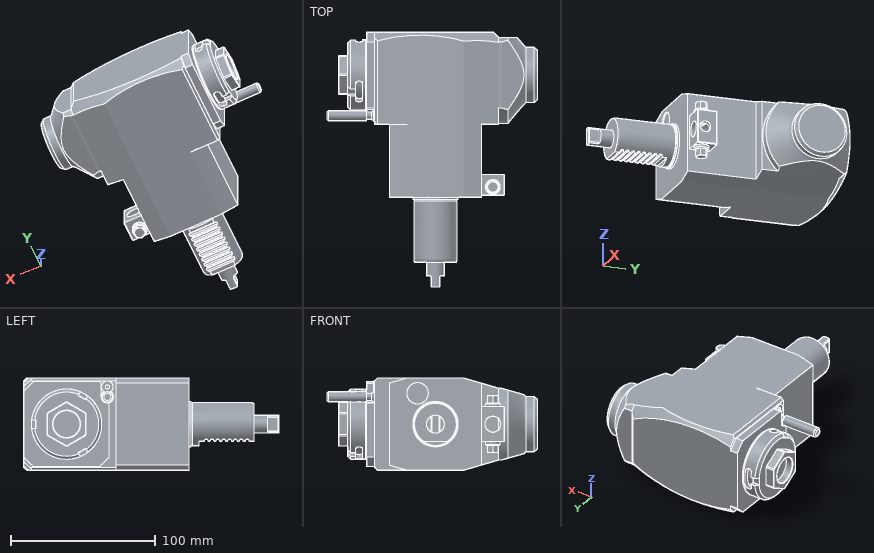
import cadquery as cq
import math

HEX_SIDES = 6
HEX_TURN = 180 / HEX_SIDES


HALF_WIDTH = 32.0
HEAD_LEFT = -42.1
HEAD_RIGHT = 43.9
HEAD_BACK = 29.7
HEAD_FRONT = -34.3
COLUMN_FRONT = -85.0
SLOPE_START = 19.6
SLOPE_END_Z = 25.0
LEFT_CHAMFER = 2.0
BACK_CORNER_CHAMFER = 3.7
CROWN_RADIUS = 42.3
CROWN_ARC = 177.0
CROWN_X = -10.6
PLUG_X = -12.4
PLUG_Z = 21.5
PLUG_DIAMETER = 14.9
PLUG_DEPTH = 0.9

NOSE_RADIUS = 33.8
NOSE_CYLINDER_END = 50.3
NOSE_CONE_END = 61.5
NOSE_CONE_END_RADIUS = 20.5
NOSE_BACK = 26.0
NOSE_FLAT_END = 45.8
NOSE_END_Z = 20.5
CAP_RADIUS = 19.3
CAP_START = 62.8
CAP_END = 71.0
CAP_CHAMFER_LENGTH = 2.7
CAP_CHAMFER_DEPTH = 2.1

PLATE_LEFT = -47.8
PLATE_HALF = 29.5
PLATE_CORNER = 6.7
PLATE_NOTCH_Y = -24.0

RING_LEFT = -60.9
RING_RADIUS = 24.5
RING_CHAMFER = 2.1
RING_NECK_RADIUS = 23.7
RING_NECK_LENGTH = 0.9
SLOT_COUNT = 3
SLOT_X = -53.0
SLOT_WIDTH = 5.0
SLOT_DEPTH = 3.2
SLOT_HALF_ANGLE = 20
NOTCH_WIDTH = 5.8
NOTCH_DEPTH = 3.0
HEX_LEFT = -67.3
HEX_FLATS = 26.9
HEX_CORNER_DIAMETER = 30.5
HEX_BORE_DIAMETER = 18.8
HEX_BORE_DEPTH = 5.3
HEX_BORE_CHAMFER = 0.4
HEX_EDGE_CHAMFER = 0.4

PIN_Y = -28.3
PIN_Z = 19.0
PIN_RADIUS = 3.5
PIN_LEFT = -75.4
PIN_RIGHT = -48.0
PIN_CHAMFER = 1.0
PIN_NECK_RADIUS = 2.5
PIN_NECK_END = -44.5
PIN_FOOT_RADIUS = 4.2
SCREW_Z = 25.8
SCREW_RADIUS = 4.0
SCREW_HEAD = 0.9
SCREW_SOCKET = 3.2

COLLAR_RADIUS = 15.8
COLLAR_LENGTH = 1.5
GROOVE_RADIUS = 14.7
GROOVE_END = -87.5
SHANK_RADIUS = 15.0
SHANK_END = -130.1
SHANK_CHAMFER_LENGTH = 1.8
SHANK_CHAMFER_DEPTH = 0.5
RACK_Z = -12.0
RACK_START = -92.0
TOOTH_PITCH = 4.0
TOOTH_COUNT = 8
FIRST_TOOTH_GAP = -96.8
TOOTH_GAP_TOP = 1.5
TOOTH_GAP_MOUTH = 3.2
TOOTH_DEPTH = 1.5
DRIVE_RADIUS = 6.2
DRIVE_SHOULDER = -139.5
DRIVE_END = -147.3
TANG_WIDTH = 6.0
TANG_ROOT_FILLET = 0.9
TANG_TIP_CHAMFER = 0.5
TANG_SIDE_CHAMFER_DEPTH = 0.5
TANG_SIDE_CHAMFER_LENGTH = 1.6

BLOCK_RIGHT = 48.0
BLOCK_BACK = -69.0
BLOCK_FRONT = -83.5
BLOCK_HALF_Z = 12.2
BLOCK_CHAMFER = 0.5
BLOCK_BORE = 11.0
OUTLET_BORE = 7.8
CROSS_BORE_HALF_LENGTH = 5.8
BOLT_X = 39.8
BOLT_Y = -77.7
BOLT_COLLAR_RADIUS = 5.1
BOLT_COLLAR_HEIGHT = 2.5
BOLT_HEX_TOP = 19.8
BOLT_COLLAR_CHAMFER = 0.7
BOLT_HEX_FLATS = 7.3


def box(x_range, y_range, z_range):
    """Axis-aligned box between the given limits."""
    (x0, x1), (y0, y1), (z0, z1) = x_range, y_range, z_range
    return cq.Workplane("XY").box(x1 - x0, y1 - y0, z1 - z0, centered=False).translate((x0, y0, z0))


def rod_x(x0, x1, radius, y=0, z=0):
    """Cylinder parallel to X."""
    return cq.Workplane("YZ", origin=(x0, y, z)).circle(radius).extrude(x1 - x0)


def turned_x(profile, y=0, z=0):
    """Solid of revolution about a line parallel to X, from (x, radius) points."""
    outline = [(profile[0][0], 0)] + profile + [(profile[-1][0], 0)]
    return cq.Workplane("XY").polyline(outline).close().revolve(360, (0, 0), (1, 0)).translate((0, y, z))


def turned_y(profile):
    """Solid of revolution about the shank axis, from (radius, y) points."""
    outline = [(0, profile[0][1])] + profile + [(0, profile[-1][1])]
    return cq.Workplane("XY").polyline(outline).close().revolve(360, (0, 0), (0, 1))


def hex_corners(flats):
    """Diameter across the corners of a hexagon with the given width across flats."""
    return flats / math.cos(math.pi / HEX_SIDES)


def mirrored_outline(upper):
    """Closed XZ outline symmetric about Z = 0, given its upper half from left to right."""
    return upper + [(x, -z) for x, z in reversed(upper)]


def prism_y(outline, y_front, y_back):
    """XZ outline extruded along Y."""
    plane = cq.Workplane("XZ", origin=(0, y_back, 0))
    return plane.polyline(outline).close().extrude(y_back - y_front)


def make_housing():
    """Head with crowned back edges, and the column below it carrying a shallow plug recess."""
    slope = (HALF_WIDTH - SLOPE_END_Z) / (HEAD_RIGHT - SLOPE_START)
    column_side_z = HALF_WIDTH - slope * (HALF_WIDTH - SLOPE_START)
    head = prism_y(
        mirrored_outline([
            (HEAD_LEFT, HALF_WIDTH - LEFT_CHAMFER),
            (HEAD_LEFT + LEFT_CHAMFER, HALF_WIDTH),
            (SLOPE_START, HALF_WIDTH),
            (HEAD_RIGHT, SLOPE_END_Z),
        ]),
        HEAD_FRONT, HEAD_BACK,
    )
    head = head.edges("|Z and >X and >Y").chamfer(BACK_CORNER_CHAMFER)

    def barrel_radius(x):
        return CROWN_RADIUS - CROWN_ARC + math.sqrt(CROWN_ARC**2 - (x - CROWN_X)**2)

    barrel = (
        cq.Workplane("XY")
        .moveTo(HEAD_LEFT, 0)
        .lineTo(HEAD_LEFT, barrel_radius(HEAD_LEFT))
        .threePointArc((CROWN_X, CROWN_RADIUS), (HEAD_RIGHT, barrel_radius(HEAD_RIGHT)))
        .lineTo(HEAD_RIGHT, 0)
        .close()
        .revolve(360, (0, 0), (1, 0))
    )
    front_half = box((HEAD_LEFT, HEAD_RIGHT), (HEAD_FRONT, 0), (-HALF_WIDTH, HALF_WIDTH))
    head = head.intersect(barrel.union(front_half))

    column = prism_y(
        mirrored_outline([
            (-HALF_WIDTH, column_side_z),
            (-SLOPE_START, HALF_WIDTH),
            (SLOPE_START, HALF_WIDTH),
            (HALF_WIDTH, column_side_z),
        ]),
        COLUMN_FRONT, HEAD_FRONT,
    )
    plug_recess = (
        cq.Workplane("XZ", origin=(PLUG_X, COLUMN_FRONT, PLUG_Z))
        .circle(PLUG_DIAMETER / 2)
        .extrude(-PLUG_DEPTH)
    )
    return head.union(column).cut(plug_recess)


def make_nose():
    """Turned bearing nose, trimmed by the sloped faces and a flat back."""
    turned = turned_x([
        (HEAD_RIGHT, NOSE_RADIUS),
        (NOSE_CYLINDER_END, NOSE_RADIUS),
        (NOSE_CONE_END, NOSE_CONE_END_RADIUS),
        (CAP_START, CAP_RADIUS),
        (CAP_END - CAP_CHAMFER_LENGTH, CAP_RADIUS),
        (CAP_END, CAP_RADIUS - CAP_CHAMFER_DEPTH),
    ])
    envelope = prism_y(
        mirrored_outline([
            (HEAD_RIGHT, SLOPE_END_Z),
            (NOSE_FLAT_END, SLOPE_END_Z),
            (NOSE_CONE_END, NOSE_END_Z),
            (CAP_END, NOSE_END_Z),
        ]),
        -NOSE_RADIUS, NOSE_BACK,
    )
    return turned.intersect(envelope)


def make_plate():
    """Flange plate with bevelled corners and a round-bottomed notch beside the pin."""
    left = PLATE_LEFT
    plate = box((left, HEAD_LEFT), (-PLATE_HALF, HEAD_BACK), (-PLATE_HALF, PLATE_HALF))
    plate = plate.edges("|X").chamfer(PLATE_CORNER)
    notch = box((left, HEAD_LEFT), (-PLATE_HALF, PLATE_NOTCH_Y), (PIN_Z, PLATE_HALF))
    notch = notch.union(rod_x(left, HEAD_LEFT, PLATE_NOTCH_Y - PIN_Y, PIN_Y, PIN_Z))
    return plate.cut(notch)


def make_slot_cutter():
    """One J-slot on the +Y side: an arc-shaped groove with round ends and an axial entry notch."""
    floor_radius = RING_RADIUS - SLOT_DEPTH
    half_width = SLOT_WIDTH / 2
    reach = 2 * RING_RADIUS
    end_angle = SLOT_HALF_ANGLE - math.degrees(half_width / RING_RADIUS)
    end_y = reach * math.cos(math.radians(end_angle))
    end_z = reach * math.sin(math.radians(end_angle))
    left = SLOT_X - half_width
    wedge = (
        cq.Workplane("YZ", origin=(left, 0, 0))
        .polyline([(0, 0), (end_y, -end_z), (reach, 0), (end_y, end_z)])
        .close()
        .extrude(SLOT_WIDTH)
    )
    for side in (-1, 1):
        round_end = cq.Workplane("XY", origin=(SLOT_X, 0, 0)).transformed(rotate=(-90, 0, 0))
        round_end = round_end.circle(half_width).extrude(reach)
        wedge = wedge.union(round_end.rotate((0, 0, 0), (1, 0, 0), side * end_angle))
    groove = wedge.cut(rod_x(left, left + SLOT_WIDTH, floor_radius))
    notch = box(
        (RING_LEFT, SLOT_X),
        (RING_RADIUS - NOTCH_DEPTH, RING_RADIUS + NOTCH_DEPTH),
        (-NOTCH_WIDTH / 2, NOTCH_WIDTH / 2),
    )
    return groove.union(notch)


def make_clamping_nut():
    """Round slotted nut with a bored hexagon on its outer face."""
    neck_start = PLATE_LEFT - RING_NECK_LENGTH
    nut = turned_x([
        (RING_LEFT, RING_RADIUS - RING_CHAMFER),
        (RING_LEFT + RING_CHAMFER, RING_RADIUS),
        (neck_start, RING_RADIUS),
        (neck_start, RING_NECK_RADIUS),
        (PLATE_LEFT, RING_NECK_RADIUS),
    ])
    slot = make_slot_cutter()
    for i in range(SLOT_COUNT):
        nut = nut.cut(slot.rotate((0, 0, 0), (1, 0, 0), i * 360 / SLOT_COUNT))
    hexagon = (
        cq.Workplane("YZ", origin=(HEX_LEFT, 0, 0))
        .polygon(HEX_SIDES, hex_corners(HEX_FLATS))
        .extrude(RING_LEFT - HEX_LEFT)
        .rotate((0, 0, 0), (1, 0, 0), HEX_TURN)
    )
    hexagon = hexagon.intersect(rod_x(HEX_LEFT, RING_LEFT, HEX_CORNER_DIAMETER / 2))
    hexagon = hexagon.faces("<X").chamfer(HEX_EDGE_CHAMFER)
    bore_radius = HEX_BORE_DIAMETER / 2
    bore = turned_x([
        (HEX_LEFT, bore_radius + HEX_BORE_CHAMFER),
        (HEX_LEFT + HEX_BORE_CHAMFER, bore_radius),
        (HEX_LEFT + HEX_BORE_DEPTH, bore_radius),
    ])
    return nut.union(hexagon).cut(bore)


def make_pin():
    """Locating pin with a neck and a flared foot."""
    return turned_x(
        [
            (PIN_LEFT, PIN_RADIUS - PIN_CHAMFER),
            (PIN_LEFT + PIN_CHAMFER, PIN_RADIUS),
            (PIN_RIGHT, PIN_RADIUS),
            (PIN_RIGHT, PIN_NECK_RADIUS),
            (PIN_NECK_END, PIN_NECK_RADIUS),
            (HEAD_LEFT, PIN_FOOT_RADIUS),
        ],
        PIN_Y, PIN_Z,
    )


def make_retaining_screw():
    """Low screw head with a hexagon socket."""
    head = rod_x(HEAD_LEFT - SCREW_HEAD, HEAD_LEFT, SCREW_RADIUS, PIN_Y, SCREW_Z)
    socket = (
        cq.Workplane("YZ", origin=(HEAD_LEFT - SCREW_HEAD, PIN_Y, SCREW_Z))
        .polygon(HEX_SIDES, SCREW_SOCKET)
        .extrude(SCREW_HEAD)
        .rotate((0, PIN_Y, SCREW_Z), (1, PIN_Y, SCREW_Z), HEX_TURN)
    )
    return head.cut(socket)


def make_tang_root():
    """Concave fillets between the drive shoulder and both flats of the tang."""
    foot = TANG_WIDTH / 2 + TANG_ROOT_FILLET
    root_end = DRIVE_SHOULDER - TANG_ROOT_FILLET
    root = box((-foot, foot), (root_end, DRIVE_SHOULDER), (-DRIVE_RADIUS, DRIVE_RADIUS))
    hollows = (
        cq.Workplane("XY", origin=(0, 0, -DRIVE_RADIUS))
        .pushPoints([(-foot, root_end), (foot, root_end)])
        .circle(TANG_ROOT_FILLET)
        .extrude(2 * DRIVE_RADIUS)
    )
    return root.cut(hollows)


def make_shank():
    """Cylindrical shank with a collar, a groove and a toothed flat underneath."""
    collar_end = COLUMN_FRONT - COLLAR_LENGTH
    shank = turned_y([
        (COLLAR_RADIUS, COLUMN_FRONT),
        (COLLAR_RADIUS, collar_end),
        (GROOVE_RADIUS, collar_end),
        (GROOVE_RADIUS, GROOVE_END),
        (SHANK_RADIUS, GROOVE_END),
        (SHANK_RADIUS, SHANK_END + SHANK_CHAMFER_LENGTH),
        (SHANK_RADIUS - SHANK_CHAMFER_DEPTH, SHANK_END),
    ])
    shank = shank.cut(
        box((-SHANK_RADIUS, SHANK_RADIUS), (SHANK_END, RACK_START), (-SHANK_RADIUS, RACK_Z))
    )
    for i in range(TOOTH_COUNT):
        y = FIRST_TOOTH_GAP - i * TOOTH_PITCH
        gap = (
            cq.Workplane("YZ", origin=(-SHANK_RADIUS, 0, 0))
            .polyline([
                (y - TOOTH_GAP_MOUTH / 2, RACK_Z),
                (y - TOOTH_GAP_TOP / 2, RACK_Z + TOOTH_DEPTH),
                (y + TOOTH_GAP_TOP / 2, RACK_Z + TOOTH_DEPTH),
                (y + TOOTH_GAP_MOUTH / 2, RACK_Z),
            ])
            .close()
            .extrude(2 * SHANK_RADIUS)
        )
        shank = shank.cut(gap)
    return shank


def make_drive():
    """Round drive spigot with a flat tang at its end."""
    drive = turned_y([(DRIVE_RADIUS, SHANK_END), (DRIVE_RADIUS, DRIVE_SHOULDER)])
    half_tang = TANG_WIDTH / 2
    tang = box((-half_tang, half_tang), (DRIVE_END, DRIVE_SHOULDER), (-DRIVE_RADIUS, DRIVE_RADIUS))
    tang = tang.edges("|Y").chamfer(TANG_SIDE_CHAMFER_LENGTH, TANG_SIDE_CHAMFER_DEPTH)
    tang = tang.edges("|Z and <Y").chamfer(TANG_TIP_CHAMFER)
    root = make_tang_root()
    tang_cylinder = turned_y([(DRIVE_RADIUS, DRIVE_SHOULDER), (DRIVE_RADIUS, DRIVE_END)])
    return drive.union(tang.union(root).intersect(tang_cylinder))


def make_coolant_block():
    """Side block with crossing bores and a hexagon bolt above and below."""
    block = box((HALF_WIDTH, BLOCK_RIGHT), (BLOCK_FRONT, BLOCK_BACK), (-BLOCK_HALF_Z, BLOCK_HALF_Z))
    block = block.faces(">X").edges().chamfer(BLOCK_CHAMFER)
    bore = (
        cq.Workplane("XZ", origin=(BOLT_X, BLOCK_BACK, 0))
        .circle(BLOCK_BORE / 2)
        .extrude(BLOCK_BACK - BLOCK_FRONT)
    )
    outlet = rod_x(BOLT_X, BLOCK_RIGHT, OUTLET_BORE / 2, y=BOLT_Y)
    cross_bore = (
        cq.Workplane("XY", origin=(BOLT_X, BOLT_Y, -CROSS_BORE_HALF_LENGTH))
        .circle(OUTLET_BORE / 2)
        .extrude(2 * CROSS_BORE_HALF_LENGTH)
    )
    block = block.cut(bore).cut(outlet).cut(cross_bore)

    corner_diameter = hex_corners(BOLT_HEX_FLATS)
    collar_top = BLOCK_HALF_Z + BOLT_COLLAR_HEIGHT
    collar = (
        cq.Workplane("XY", origin=(BOLT_X, BOLT_Y, BLOCK_HALF_Z))
        .circle(BOLT_COLLAR_RADIUS)
        .extrude(BOLT_COLLAR_HEIGHT)
        .faces(">Z")
        .chamfer(BOLT_COLLAR_CHAMFER)
    )
    hexagon = (
        cq.Workplane("XY", origin=(BOLT_X, BOLT_Y, collar_top))
        .polygon(HEX_SIDES, corner_diameter)
        .extrude(BOLT_HEX_TOP - collar_top)
        .rotate((BOLT_X, BOLT_Y, 0), (BOLT_X, BOLT_Y, 1), HEX_TURN)
    )
    crown = (
        cq.Workplane("XY", origin=(BOLT_X, BOLT_Y, collar_top))
        .circle(corner_diameter / 2)
        .extrude(BOLT_HEX_TOP - collar_top)
        .faces(">Z")
        .chamfer((corner_diameter - BOLT_HEX_FLATS) / 2)
    )
    bolt = collar.union(hexagon.intersect(crown))
    return block.union(bolt).union(bolt.mirror("XY"))


result = make_housing()
for piece in (
    make_nose(),
    make_plate(),
    make_clamping_nut(),
    make_pin(),
    make_retaining_screw(),
    make_shank(),
    make_drive(),
    make_coolant_block(),
):
    result = result.union(piece)